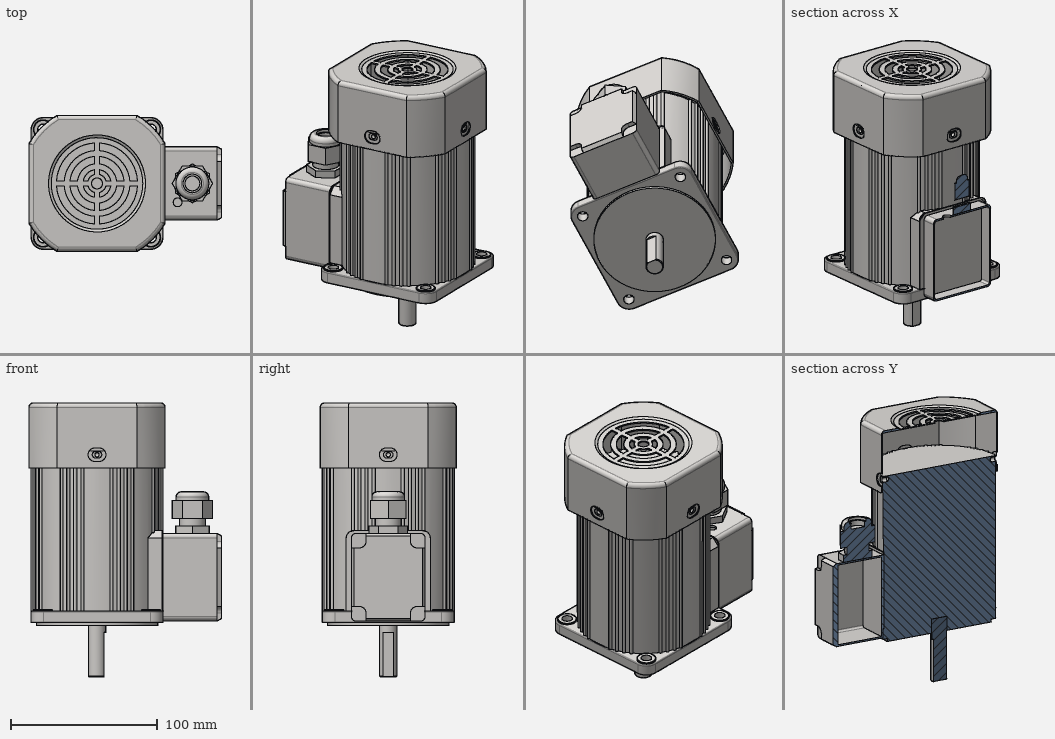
import cadquery as cq
import math

TOTAL_HEIGHT = 187.0
SPIGOT_BOTTOM = 35.0
FLANGE_BOTTOM = 37.0
FLANGE_TOP = 45.0
COVER_BOTTOM = 142.5
BARREL_TOP = 154.3

FLANGE_WIDTH = 90.1
FLANGE_CORNER = 8.6
FLANGE_EDGE_FILLET = 0.5
SPIGOT_RADIUS = 41.5
BOLT_OFFSET = 36.8
BOLT_HOLE_RADIUS = 3.5
BOSS_RADIUS = 6.5
BOSS_TOP = FLANGE_TOP + 1.0
BOSS_CHAMFER = 0.4

BARREL_RADIUS = FLANGE_WIDTH / 2
RIB_RADIUS = 1.1
RIB_PITCH = 6.5
RIBS_PER_GROUP = 4
RIB_GROUPS = 8
GROUP_PITCH = 360 / RIB_GROUPS

PAD_WIDTH = 57.5
PAD_TOP = 99.9
PAD_CHAMFER = 5.0

COVER_WIDTH = 93.0
COVER_CORNER_RADIUS = 53.9
COVER_TOP_FILLET = 3.0
COVER_WALL = 1.3
RECESS_RADIUS = 33.1
RECESS_FLOOR_RADIUS = 31.2
RECESS_FLOOR = TOTAL_HEIGHT - 1.0
CAVITY_TOP = TOTAL_HEIGHT - 1.9

VENT_HUB_RADIUS = 3.7
VENT_RINGS = [(6.4, 9.5), (13.5, 18.5), (22.5, 27.7)]
SPOKE_WIDTH = 3.5

SCREW_HEIGHT = 151.7
SEAT_LENGTH = 12.2
SEAT_WIDTH = 9.2
SEAT_DEPTH = 1.0
SLOT_LENGTH = 6.5
SLOT_WIDTH = 4.5
SCREW_HOLE_RADIUS = 1.5
SCREW_HOLE_DEPTH = 3.7
DRILL_TIP_ANGLE = 118.0

SHAFT_RADIUS = 6.0
SHAFT_FLAT = 4.9
SHAFT_FLAT_TOP = 30.5
SHAFT_TIP_CHAMFER = 0.5
SHAFT_TOP = FLANGE_TOP

BASE_PLATE_THICKNESS = 0.7
BOX_START = BARREL_RADIUS
PAD_FACE = BOX_START - BASE_PLATE_THICKNESS
OVERALL_LENGTH = 131.5
BOX_END = OVERALL_LENGTH - COVER_WIDTH / 2
BOX_WIDTH = 50.1
BOX_BOTTOM = 38.1
BOX_TOP = 98.0
BOX_FILLET = 3.0
BOX_WALL = 1.5
LID_THICKNESS = 3.0
LID_SLOPE = 1.7
LID_START = BOX_END - LID_THICKNESS
LID_NOTCH = 10.0
LID_NOTCH_FILLET = 4.5
DRAIN_X = 55.0
DRAIN_Y = -12.9
DRAIN_RADIUS = 3.0

GLAND_X = 65.0
GLAND_BASE_FLATS = 23.0
GLAND_BASE_TOP = 103.0
GLAND_NECK_RADIUS = 9.0
GLAND_NUT_BOTTOM = 108.0
GLAND_NUT_FLATS = 24.0
GLAND_NUT_TOP = 120.5
GLAND_DOME_RADIUS = 11.2
GLAND_DOME_TOP = 126.5
GLAND_DOME_FILLET = 3.7
GLAND_MOUTH_RADIUS = 6.4
GLAND_MOUTH_DEPTH = 1.9
GLAND_BORE_RADIUS = 5.0
GLAND_BORE_DEPTH = 5.6


def disc(radius, bottom, top, x=0.0, y=0.0):
    """Upright cylinder between two levels."""
    return cq.Workplane("XY", origin=(x, y, bottom)).circle(radius).extrude(top - bottom)


def upright_bar(size_x, size_y, bottom, top):
    """Rectangular block centred on the motor axis, between two levels."""
    return cq.Workplane("XY", origin=(0, 0, bottom)).rect(size_x, size_y).extrude(top - bottom)


def sideways_bar(start, end, width, bottom, top, taper=0.0):
    """Block that runs along +X, narrowing on all flanks by the taper angle."""
    middle = (bottom + top) / 2
    profile = cq.Workplane("YZ", origin=(start, 0, middle)).rect(width, top - bottom)
    return profile.extrude(end - start, taper=taper)


def on_four_sides(shape):
    """Copies of a shape turned to the four sides of the motor axis."""
    return [shape.rotate((0, 0, 0), (0, 0, 1), 90 * side) for side in range(4)]


def make_barrel():
    barrel = disc(BARREL_RADIUS, FLANGE_TOP, BARREL_TOP)
    first_angle = (GROUP_PITCH - RIB_PITCH * (RIBS_PER_GROUP - 1)) / 2
    for group in range(RIB_GROUPS):
        for rib in range(RIBS_PER_GROUP):
            angle = math.radians(group * GROUP_PITCH + first_angle + rib * RIB_PITCH)
            x = BARREL_RADIUS * math.cos(angle)
            y = BARREL_RADIUS * math.sin(angle)
            barrel = barrel.union(disc(RIB_RADIUS, FLANGE_TOP, BARREL_TOP, x, y))
    return barrel


def make_pad():
    pad = sideways_bar(0, PAD_FACE, PAD_WIDTH, FLANGE_TOP, PAD_TOP)
    return pad.faces(">Z").edges("|X").chamfer(PAD_CHAMFER)


def make_flange():
    plate = upright_bar(FLANGE_WIDTH, FLANGE_WIDTH, FLANGE_BOTTOM, FLANGE_TOP)
    plate = plate.edges("|Z").fillet(FLANGE_CORNER)
    flange = plate.faces("<Z or >Z").edges().fillet(FLANGE_EDGE_FILLET)
    flange = flange.union(disc(SPIGOT_RADIUS, SPIGOT_BOTTOM, FLANGE_BOTTOM))
    boss = disc(BOSS_RADIUS, FLANGE_TOP, BOSS_TOP, BOLT_OFFSET, BOLT_OFFSET)
    boss = boss.faces(">Z").edges().chamfer(BOSS_CHAMFER)
    hole = disc(BOLT_HOLE_RADIUS, FLANGE_BOTTOM, BOSS_TOP, BOLT_OFFSET, BOLT_OFFSET)
    for copy in on_four_sides(boss):
        flange = flange.union(copy)
    for copy in on_four_sides(hole):
        flange = flange.cut(copy)
    return flange


def make_screw_hole():
    """Blind drilled hole with a conical bottom, entering the barrel from +X."""
    mouth = BARREL_RADIUS
    bottom = mouth - SCREW_HOLE_DEPTH
    tip = bottom - SCREW_HOLE_RADIUS / math.tan(math.radians(DRILL_TIP_ANGLE / 2))
    return (
        cq.Workplane("XZ")
        .moveTo(tip, 0)
        .lineTo(bottom, SCREW_HOLE_RADIUS)
        .lineTo(mouth, SCREW_HOLE_RADIUS)
        .lineTo(mouth, 0)
        .close()
        .revolve(360, (0, 0, 0), (1, 0, 0))
        .translate((0, 0, SCREW_HEIGHT))
    )


def make_housing():
    housing = make_barrel().union(make_pad()).union(make_flange())
    for hole in on_four_sides(make_screw_hole()):
        housing = housing.cut(hole)
    housing = housing.cut(make_base_plate(BARREL_RADIUS + RIB_RADIUS))
    return housing.cut(disc(SHAFT_RADIUS, SPIGOT_BOTTOM, SHAFT_TOP))


def cover_block(inset, bottom, top):
    """Square block with corners rounded about the motor axis, drawn in by an inset."""
    width = COVER_WIDTH - 2 * inset
    return upright_bar(width, width, bottom, top).intersect(disc(COVER_CORNER_RADIUS - inset, bottom, top))


def make_recess():
    return (
        cq.Workplane("XY", origin=(0, 0, RECESS_FLOOR))
        .circle(RECESS_FLOOR_RADIUS)
        .workplane(offset=TOTAL_HEIGHT - RECESS_FLOOR)
        .circle(RECESS_RADIUS)
        .loft(ruled=True)
    )


def make_vents():
    """Round hub hole and arc slots, parted by two crossing spokes."""
    spokes = upright_bar(COVER_WIDTH, SPOKE_WIDTH, CAVITY_TOP, RECESS_FLOOR).union(
        upright_bar(SPOKE_WIDTH, COVER_WIDTH, CAVITY_TOP, RECESS_FLOOR)
    )
    vents = disc(VENT_HUB_RADIUS, CAVITY_TOP, RECESS_FLOOR)
    for inner, outer in VENT_RINGS:
        ring = disc(outer, CAVITY_TOP, RECESS_FLOOR).cut(disc(inner, CAVITY_TOP, RECESS_FLOOR))
        vents = vents.union(ring.cut(spokes))
    return vents


def make_screw_seat():
    """Shallow oblong seat in the +X side with a smaller slot through the wall."""
    side = cq.Workplane("YZ", origin=(COVER_WIDTH / 2, 0, SCREW_HEIGHT))
    seat = side.slot2D(SEAT_LENGTH, SEAT_WIDTH).extrude(-SEAT_DEPTH)
    return seat.union(side.slot2D(SLOT_LENGTH, SLOT_WIDTH).extrude(-COVER_WALL))


def make_cover():
    cover = cover_block(0, COVER_BOTTOM, TOTAL_HEIGHT).faces(">Z").edges().fillet(COVER_TOP_FILLET)
    cover = cover.cut(cover_block(COVER_WALL, COVER_BOTTOM, CAVITY_TOP))
    cover = cover.cut(make_recess()).cut(make_vents())
    for seat in on_four_sides(make_screw_seat()):
        cover = cover.cut(seat)
    return cover


def make_shaft():
    shaft = disc(SHAFT_RADIUS, 0, SHAFT_TOP).faces("<Z").chamfer(SHAFT_TIP_CHAMFER)
    relief = sideways_bar(SHAFT_FLAT, SHAFT_RADIUS, 2 * SHAFT_RADIUS, 0, SHAFT_FLAT_TOP)
    return shaft.cut(relief)


def make_base_plate(end):
    """Plate with rounded top corners that rests on the pad face and ends at a given X."""
    plate = sideways_bar(PAD_FACE, end, PAD_WIDTH, FLANGE_TOP, PAD_TOP)
    return plate.faces(">Z").edges("|X").fillet(PAD_CHAMFER)


def make_lid():
    slope_angle = math.degrees(math.atan(LID_SLOPE / LID_THICKNESS))
    lid = sideways_bar(LID_START, BOX_END, BOX_WIDTH, BOX_BOTTOM, BOX_TOP, slope_angle)
    for y in (-BOX_WIDTH / 2, BOX_WIDTH / 2):
        for z in (BOX_BOTTOM, BOX_TOP):
            notch = (
                cq.Workplane("YZ", origin=(LID_START, y, z))
                .rect(2 * LID_NOTCH, 2 * LID_NOTCH)
                .extrude(LID_THICKNESS)
                .edges("|X")
                .fillet(LID_NOTCH_FILLET)
            )
            lid = lid.cut(notch)
    return lid


def make_terminal_box():
    case = sideways_bar(BOX_START, LID_START, BOX_WIDTH, BOX_BOTTOM, BOX_TOP).edges("|X").fillet(BOX_FILLET)
    cavity = sideways_bar(
        BOX_START + BOX_WALL,
        LID_START - BOX_WALL,
        BOX_WIDTH - 2 * BOX_WALL,
        BOX_BOTTOM + BOX_WALL,
        BOX_TOP - BOX_WALL,
    )
    cavity = cavity.edges("|X").fillet(BOX_FILLET - BOX_WALL)
    drain = disc(DRAIN_RADIUS, BOX_TOP - BOX_WALL, BOX_TOP, DRAIN_X, DRAIN_Y)
    return case.union(make_base_plate(BOX_START)).union(make_lid()).cut(cavity).cut(drain)


def hexagon(flats, bottom, top, turn):
    """Upright hexagonal prism on the gland axis, turned about it by some degrees."""
    across_corners = flats / math.cos(math.radians(30))
    prism = cq.Workplane("XY").polygon(6, across_corners).extrude(top - bottom)
    return prism.rotate((0, 0, 0), (0, 0, 1), turn).translate((GLAND_X, 0, bottom))


def make_gland():
    dome = disc(GLAND_DOME_RADIUS, GLAND_NUT_TOP, GLAND_DOME_TOP, GLAND_X)
    dome = dome.faces(">Z").edges().fillet(GLAND_DOME_FILLET)
    gland = (
        hexagon(GLAND_BASE_FLATS, BOX_TOP, GLAND_BASE_TOP, 30)
        .union(disc(GLAND_NECK_RADIUS, GLAND_BASE_TOP, GLAND_NUT_BOTTOM, GLAND_X))
        .union(hexagon(GLAND_NUT_FLATS, GLAND_NUT_BOTTOM, GLAND_NUT_TOP, 0))
        .union(dome)
    )
    mouth = disc(GLAND_MOUTH_RADIUS, GLAND_DOME_TOP - GLAND_MOUTH_DEPTH, GLAND_DOME_TOP, GLAND_X)
    bore = disc(GLAND_BORE_RADIUS, GLAND_DOME_TOP - GLAND_BORE_DEPTH, GLAND_DOME_TOP, GLAND_X)
    return gland.cut(mouth).cut(bore)


cover = make_cover()
housing = make_housing()
shaft = make_shaft()
terminal_box = make_terminal_box()
gland = make_gland()

result = cq.Compound.makeCompound([cover.val(), housing.val(), shaft.val(), terminal_box.val(), gland.val()])